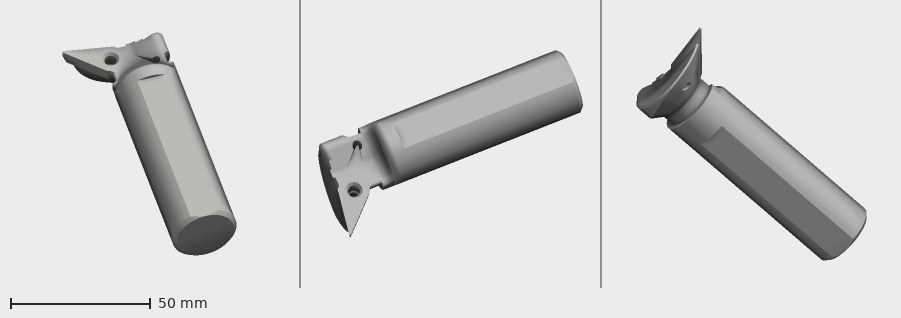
import cadquery as cq
import math

overall_length = 96.62
shank_radius = 12.0
shank_start = 18.8
end_chamfer = 1.3
flat_height = 10.8
flat_start = 29.5

neck_radius = 10.0
neck_start = 14.25
rim_x = 1.5
rim_radius = neck_radius + neck_start - rim_x
rim_rounding = 0.5
side_rounding = 0.9
crest_rounding = 1.5
dish_floor_x = 4.2
dish_floor_radius = 4.7
dish_slope = (dish_floor_x - rim_x) / (rim_radius - dish_floor_radius)
dish_center_x = dish_floor_x + dish_slope * dish_floor_radius
pip_radius = 1.7
pip_height = 0.8

clearance_radius = 18.2
clearance_y = -5.9
clearance_z = -2.75
head_side_y = clearance_y + clearance_radius

slope_angle = math.radians(25)
floor_blend = 3.4
blend_reach = floor_blend * math.tan(slope_angle / 2)
blend_end_y = blend_reach * math.cos(slope_angle)
blend_end_z = blend_reach * math.sin(slope_angle)
floor_edge_fillet = 1.0
wall_x = 23.0
wall_root_fillet = 3.7
wall_rim_fillet = 2.4
crest_start_y = 7.2

side_flat_y = -11.2
side_flat_end = 22.2
side_flat_runout = 1.5

inscribed_diameter = 11.11
insert_thickness = 5.56
insert_side = inscribed_diameter / math.sin(math.radians(35))
insert_edge_angles = (math.radians(45), math.radians(80))
insert_relief = 7.0
insert_nose_radius = 0.4
insert_tip_y = -24.44
insert_hole_radius = 2.2
insert_sink_radius = 3.1
insert_sink_depth = 1.0
screw_hole_radius = 1.55
tip_relief_radius = 1.75
tip_relief_center = (15.8, 5.6)

reach = 60.0
margin = 0.1


def along_x(start, end, radius, y=0.0, z=0.0):
    """Round bar along X between two positions."""
    return cq.Workplane("YZ", origin=(start, y, z)).circle(radius).extrude(end - start)


def upright_hole(center, radius, bottom_z):
    """Round cutter along Z that starts at bottom_z."""
    return cq.Workplane("XY", origin=(*center, bottom_z)).circle(radius).extrude(reach)


def make_shank():
    """Chamfered bar with a flat on its top and one on its underside."""
    shank = along_x(shank_start, overall_length, radius=shank_radius).faces(">X").chamfer(end_chamfer)
    flats_length = overall_length - flat_start
    between_flats = (
        cq.Workplane("XY")
        .box(flats_length, reach, 2 * flat_height)
        .translate((flat_start + flats_length / 2, 0, 0))
    )
    return shank.cut(along_x(flat_start, overall_length, radius=reach).cut(between_flats))


def turned_head():
    """Head and neck turned about the X axis, with a rounded rim."""
    rim = cq.selectors.BoxSelector((0, -reach, -reach), (neck_start / 2, reach, reach))
    return (
        cq.Workplane("XY")
        .moveTo(dish_center_x, 0)
        .lineTo(rim_x, rim_radius)
        .lineTo(neck_start, neck_radius)
        .lineTo(shank_start, neck_radius)
        .lineTo(shank_start, 0)
        .close()
        .revolve(360, (0, 0, 0), (1, 0, 0))
        .edges(rim)
        .fillet(rim_rounding)
    )


def dished_bar():
    """Wide bar whose left end carries the same dish as the head."""
    bar_radius = 2 * rim_radius
    return (
        cq.Workplane("XY")
        .moveTo(dish_center_x, 0)
        .lineTo(dish_center_x - dish_slope * bar_radius, bar_radius)
        .lineTo(reach, bar_radius)
        .lineTo(reach, 0)
        .close()
        .revolve(360, (0, 0, 0), (1, 0, 0))
    )


def clearance_envelope():
    """Clearance cylinder with a dished left end and a rounded edge around it."""
    cylinder = along_x(-reach, reach, clearance_radius, clearance_y, clearance_z)
    return cylinder.intersect(dished_bar()).faces("<X").edges().fillet(side_rounding)


def crest_envelope():
    """Space below the slope and the arc that rounds it over into the +Y side of the head.

    Nearer the floor it is open upward, because the chip space trims the head there.
    """
    radius = (head_side_y - crest_start_y) / (1 + math.sin(slope_angle))
    start_z = crest_start_y * math.tan(slope_angle)
    center_y = crest_start_y + radius * math.sin(slope_angle)
    center_z = start_z - radius * math.cos(slope_angle)
    diagonal = radius * math.sqrt(0.5)
    below = (
        cq.Workplane("YZ", origin=(-reach, 0, 0))
        .moveTo(-reach, reach)
        .lineTo(blend_end_y, reach)
        .lineTo(blend_end_y, blend_end_z)
        .lineTo(crest_start_y, start_z)
        .threePointArc((center_y + diagonal, center_z + diagonal), (head_side_y, center_z))
        .lineTo(head_side_y, -reach)
        .lineTo(-reach, -reach)
        .close()
        .extrude(2 * reach)
    )
    crest_edge = cq.selectors.BoxSelector(
        (0, blend_end_y + margin, -margin), (dish_center_x, head_side_y + margin, shank_radius)
    )
    return below.intersect(dished_bar()).edges(crest_edge).fillet(crest_rounding)


def make_hub():
    """Flat boss at the middle of the dish, with a small pip on it."""
    boss = along_x(dish_floor_x, neck_start, radius=dish_floor_radius)
    pip = along_x(dish_floor_x - pip_height, neck_start, radius=pip_radius)
    return boss.union(pip)


def chip_space(end_x):
    """Space above the floor and the slope, with a blended valley between them."""
    mid = slope_angle / 2
    return (
        cq.Workplane("YZ", origin=(-reach, 0, 0))
        .moveTo(-reach, 0)
        .lineTo(-blend_reach, 0)
        .threePointArc(
            (floor_blend * math.sin(mid) - blend_reach, floor_blend * (1 - math.cos(mid))),
            (blend_end_y, blend_end_z),
        )
        .lineTo(reach, reach * math.tan(slope_angle))
        .lineTo(reach, reach)
        .lineTo(-reach, reach)
        .close()
        .extrude(reach + end_x)
    )


def insert_corners():
    """Sharp corners of the rhombus, starting from the cutting tip."""
    bisector = sum(insert_edge_angles) / 2
    half_angle = (insert_edge_angles[1] - insert_edge_angles[0]) / 2
    nose_offset = insert_nose_radius / math.sin(half_angle)
    tip_x = insert_nose_radius - nose_offset * math.cos(bisector)
    tip_y = insert_tip_y + insert_nose_radius - nose_offset * math.sin(bisector)
    (ax, ay), (bx, by) = [
        (insert_side * math.cos(angle), insert_side * math.sin(angle)) for angle in insert_edge_angles
    ]
    return [
        (tip_x, tip_y),
        (tip_x + ax, tip_y + ay),
        (tip_x + ax + bx, tip_y + ay + by),
        (tip_x + bx, tip_y + by),
    ]


def insert_center():
    """Middle of the rhombus, where the screw hole is."""
    tip, _, far_tip, _ = insert_corners()
    return ((tip[0] + far_tip[0]) / 2, (tip[1] + far_tip[1]) / 2)


def insert_outline(height):
    """Straight prism on the top outline of the insert, with rounded tips."""
    return (
        cq.Workplane("XY")
        .polyline(insert_corners())
        .close()
        .extrude(height)
        .edges("<Y or >Y")
        .fillet(insert_nose_radius)
    )


def insert_blank():
    """Insert without its hole; the sides lean in toward the bottom."""
    relieved = (
        cq.Workplane("XY").polyline(insert_corners()).close().extrude(-insert_thickness, taper=insert_relief)
    )
    return relieved.intersect(insert_outline(-insert_thickness))


def make_insert():
    """Insert with its countersunk screw hole."""
    center = insert_center()
    hole = upright_hole(center, insert_hole_radius, -insert_thickness)
    sink = cq.Workplane(
        cq.Solid.makeCone(
            insert_sink_radius,
            insert_hole_radius,
            insert_sink_depth,
            pnt=cq.Vector(*center, 0),
            dir=cq.Vector(0, 0, -1),
        )
    )
    return insert_blank().cut(hole).cut(sink)


def make_head():
    """Head and neck, trimmed to the clearance, the crest, the slope and the floor."""
    head = turned_head().intersect(clearance_envelope()).intersect(crest_envelope())
    head = head.union(make_hub()).cut(chip_space(shank_start))
    neck_edge = cq.selectors.BoxSelector(
        (neck_start, -neck_radius - margin, -margin), (shank_start, -neck_radius + margin, margin)
    )
    return head.edges(neck_edge).fillet(floor_edge_fillet)


def cut_wall(shank):
    """Cut the chip space into the shank and round the wall at its root and its rim."""
    below_slope = cq.selectors.BoxSelector(
        (0, -reach, -margin), (reach, reach - margin, shank_radius + wall_root_fillet)
    )
    space = chip_space(wall_x).faces(">X").edges(below_slope).fillet(wall_root_fillet)
    at_wall = cq.selectors.BoxSelector((wall_x - margin, -reach, -reach), (wall_x + margin, reach, reach))
    return shank.cut(space).edges(at_wall).edges("%CIRCLE").fillet(wall_rim_fillet)


def side_flat():
    """Material removed beside the neck, ending in an arc that runs out of the shank."""
    runout_x = side_flat_end + side_flat_runout
    return (
        cq.Workplane("XY", origin=(0, 0, -shank_radius))
        .moveTo(0, -reach)
        .lineTo(0, side_flat_y)
        .lineTo(side_flat_end, side_flat_y)
        .radiusArc((runout_x, side_flat_y - side_flat_runout), side_flat_runout)
        .lineTo(runout_x, -reach)
        .close()
        .extrude(2 * shank_radius)
    )


def make_holder():
    """Shank and head as one body, with the insert pocket and its holes."""
    shank = cut_wall(make_shank()).cut(side_flat())
    tip_relief = upright_hole(tip_relief_center, tip_relief_radius, -insert_thickness)
    screw_hole = upright_hole(insert_center(), screw_hole_radius, -reach)
    return (
        shank.union(make_head())
        .cut(insert_blank())
        .cut(insert_outline(reach))
        .cut(tip_relief)
        .cut(screw_hole)
    )


holder = make_holder()
insert = make_insert()
result = cq.Compound.makeCompound([holder.val(), insert.val()])